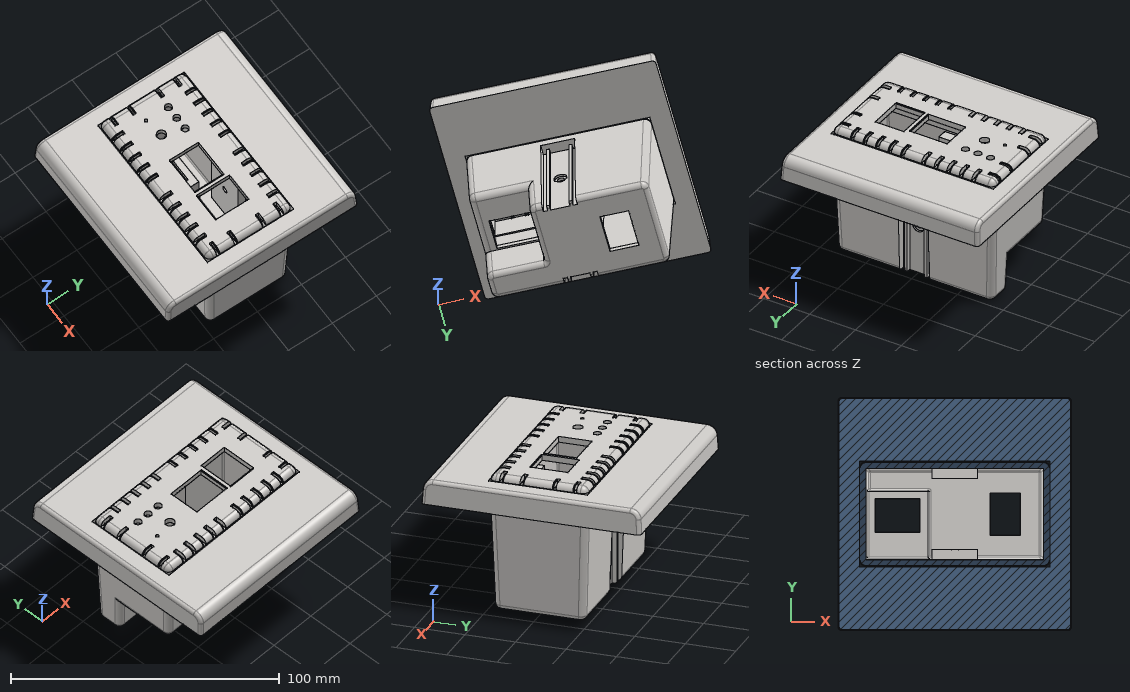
import cadquery as cq

FRAME_SIDE = 86.9
TOTAL_HEIGHT = 55.0
FRAME_BOTTOM = 42.8
FRAME_TOP = 52.5
OPENING_X = 70.9
OPENING_Y = 39.3

FRAME_DRAFT = 3.5
FRAME_ROUND_Y = 4.0
FRAME_ROUND_X = 1.5

HOUSING_DRAFT = 2.0
HOUSING_WALL = 2.0
HOUSING_X = 70.9
HOUSING_Y = 38.9
HOUSING_ROUND = 2.5
HOUSING_BASE_ROUND = 2.0
CAVITY_ROUND = 0.6
OUTLINE_BAND = 2.6
EDGE_TOLERANCE = 0.1
NOTCH_ROOF = 15.2
NOTCH_X = -11.9
NOTCH_Y = 6.35

CHANNEL_WIDTH = 13.0
CHANNEL_TOP = 39.6
CHANNEL_FLOOR_Y = 15.2
RIB_FACE_Y = 17.1
RIB_OUTER_X = 4.9
RIB_WIDTH = 1.1
SCREW_Z = 20.85
SCREW_RADIUS = 1.3
SCREW_HEAD_RADIUS = 2.4
SCREW_HEAD_DEPTH = 0.9

FLOOR_OPENING = (13.3, 24.3, -7.8, 7.8)
ROOF_OPENING = (-29.55, -13.0, -6.7, 5.65)

LID_X = 70.7
LID_Y = 38.6
LID_ROUND = 2.5
LID_THICKNESS = 2.35
LID_BOTTOM = TOTAL_HEIGHT - LID_THICKNESS
COLLAR_WALL = 2.35

MIDDLE_WINDOW = (-6.95, 9.6, -7.1, 6.1)
RIGHT_WINDOW = (11.0, 23.55, -7.5, 7.6)
LIP = 0.35

LAMP_PITCH = 5.5
LAMP_COUNT = 3
FIRST_LAMP_X = -25.55
LAMP_Y = 5.5
LAMP_RADIUS = 1.5
LAMP_HOLES = [(FIRST_LAMP_X + i * LAMP_PITCH, LAMP_Y, LAMP_RADIUS) for i in range(LAMP_COUNT)]
BUTTON_HOLE = (-17.55, -3.3, 1.9)
RESET_HOLE = (-25.7, -4.5, 0.6)
ROUND_HOLES = [*LAMP_HOLES, BUTTON_HOLE, RESET_HOLE]

SLOT_WIDTH = 1.5
SLOT_PITCH = 5.5
FIRST_SLOT_X = 4.6
SLOTS_PER_QUARTER = 5
LONG_SIDE_SLOT_X = [FIRST_SLOT_X + i * SLOT_PITCH for i in range(SLOTS_PER_QUARTER)]
LONG_SIDE_SLOT_END = 14.2
SHORT_SIDE_SLOT_Y = [6.4, 14.5]
SHORT_SIDE_SLOT_END = 30.4


def block(x0, x1, y0, y1, z0, z1):
    """Box between two opposite corners."""
    return cq.Workplane("XY").box(x1 - x0, y1 - y0, z1 - z0, centered=False).translate((x0, y0, z0))


def make_frame():
    """Drafted plate with rounded rim and a sharp-cornered opening for the lid."""
    body = (
        cq.Workplane("XY", origin=(0, 0, FRAME_BOTTOM))
        .rect(FRAME_SIDE, FRAME_SIDE)
        .extrude(FRAME_TOP - FRAME_BOTTOM, taper=FRAME_DRAFT)
    )
    body = body.faces(">Z").edges("|X").fillet(FRAME_ROUND_Y)
    body = body.faces("<X or >X").edges("not <Z").fillet(FRAME_ROUND_X)
    opening = block(-OPENING_X / 2, OPENING_X / 2, -OPENING_Y / 2, OPENING_Y / 2, 0, TOTAL_HEIGHT)
    return body.cut(opening)


def housing_form(inset, side_round, base_round):
    """Drafted, rounded box with a corner notch; inset moves every face but the top inwards."""
    half_x = HOUSING_X / 2 - inset
    half_y = HOUSING_Y / 2 - inset
    notch_x = NOTCH_X + inset
    notch_y = NOTCH_Y + inset
    roof = NOTCH_ROOF + inset
    body = (
        cq.Workplane("XY", origin=(0, 0, FRAME_BOTTOM))
        .rect(2 * half_x, 2 * half_y)
        .extrude(inset - FRAME_BOTTOM, taper=HOUSING_DRAFT)
    )
    notch = (
        cq.Workplane("XY", origin=(notch_x, notch_y, roof))
        .rect(-FRAME_SIDE, -FRAME_SIDE, centered=False)
        .extrude(-roof, taper=-HOUSING_DRAFT)
    )
    body = body.cut(notch)

    def is_rounded_side_edge(edge):
        """Upright edges and notch roof edges, but not the three that meet in the notch's inner corner."""
        middle = edge.Center()
        is_upright = edge.BoundingBox().zlen > EDGE_TOLERANCE
        is_roof = abs(middle.z - roof) < EDGE_TOLERANCE
        is_near_outline = abs(middle.x) > half_x - OUTLINE_BAND or abs(middle.y) > half_y - OUTLINE_BAND
        return (is_upright or is_roof) and is_near_outline

    body = body.edges().filter(is_rounded_side_edge).fillet(side_round)
    return body.faces("<Z").edges().fillet(base_round)


def channel_space(margin):
    """Boxes of the two rail channels, in the -Y and +Y walls, grown by margin."""
    half_width = CHANNEL_WIDTH / 2 + margin
    outside = HOUSING_Y
    floor = CHANNEL_FLOOR_Y - margin
    top = CHANNEL_TOP + margin
    front = block(-half_width, half_width, -outside, -floor, 0, top)
    return front.union(front.mirror("XZ"))


def channel_ribs():
    """Two upright ribs standing on each channel floor."""
    ribs = cq.Workplane("XY")
    for x0 in (-RIB_OUTER_X, RIB_OUTER_X - RIB_WIDTH):
        rib = block(x0, x0 + RIB_WIDTH, -RIB_FACE_Y, -CHANNEL_FLOOR_Y, 0, CHANNEL_TOP)
        ribs = ribs.union(rib).union(rib.mirror("XZ"))
    return ribs


def screw_hole():
    """Counterbored hole running through both channel floors."""

    def rod(radius, half_length):
        rod_start = cq.Workplane("XZ", origin=(0, half_length, SCREW_Z))
        return rod_start.circle(radius).extrude(2 * half_length)

    heads = rod(SCREW_HEAD_RADIUS, HOUSING_Y).cut(
        rod(SCREW_HEAD_RADIUS, CHANNEL_FLOOR_Y - SCREW_HEAD_DEPTH)
    )
    return rod(SCREW_RADIUS, HOUSING_Y).union(heads)


def make_housing():
    """Hollow lower box: notched corner, rail channels, screw hole and cable openings."""
    outside = housing_form(0, HOUSING_ROUND, HOUSING_BASE_ROUND)
    cavity = housing_form(HOUSING_WALL, CAVITY_ROUND, CAVITY_ROUND).cut(channel_space(HOUSING_WALL))
    body = outside.cut(channel_space(0).cut(channel_ribs())).cut(cavity).cut(screw_hole())
    body = body.cut(block(*FLOOR_OPENING, 0, HOUSING_WALL))
    return body.cut(block(*ROOF_OPENING, NOTCH_ROOF, NOTCH_ROOF + HOUSING_WALL))


def lid_form(inset):
    """Round-edged plate of the lid; inset moves the top and the sides inwards."""
    half_x = LID_X / 2 - inset
    half_y = LID_Y / 2 - inset
    body = block(-half_x, half_x, -half_y, half_y, LID_BOTTOM - LID_ROUND, TOTAL_HEIGHT - inset)
    body = body.edges("|Z or >Z").fillet(LID_ROUND - inset)
    return body.intersect(block(-half_x, half_x, -half_y, half_y, LID_BOTTOM, TOTAL_HEIGHT))


def four_mirrored(body):
    """The body and its mirror images across the XZ and YZ planes."""
    pair = [body, body.mirror("YZ")]
    return pair + [copy.mirror("XZ") for copy in pair]


def lid_openings(lip):
    """Vent slots and windows; lip narrows the slots and windows on one side."""
    levels = (LID_BOTTOM, TOTAL_HEIGHT)
    half = SLOT_WIDTH / 2
    cuts = []
    for x in LONG_SIDE_SLOT_X:
        cuts += four_mirrored(block(x - half, x + half - lip, LONG_SIDE_SLOT_END, LID_Y, *levels))
    for y in SHORT_SIDE_SLOT_Y:
        cuts += four_mirrored(block(SHORT_SIDE_SLOT_END, LID_X, y - half + lip, y + half, *levels))
    x0, x1, y0, y1 = MIDDLE_WINDOW
    cuts.append(block(x0, x1 - lip, y0, y1, *levels))
    x0, x1, y0, y1 = RIGHT_WINDOW
    cuts.append(block(x0, x1, y0 + lip, y1, *levels))
    return cuts


def make_lid():
    """Perforated lid; one side of each slot and window has a narrow lip just below the surface."""
    body = lid_form(0)
    below_lip = lid_form(LIP)
    for opening in lid_openings(LIP):
        body = body.cut(opening)
    for opening in lid_openings(0):
        body = body.cut(opening.cut(below_lip))
    for x, y, radius in ROUND_HOLES:
        hole = cq.Workplane("XY", origin=(x, y, LID_BOTTOM)).circle(radius).extrude(LID_THICKNESS)
        body = body.cut(hole)
    return body


def make_collar():
    """Straight-walled tube inside the frame, between the housing rim and the lid."""
    height = LID_BOTTOM - FRAME_BOTTOM
    plan = cq.Workplane("XY", origin=(0, 0, FRAME_BOTTOM))
    tube = plan.rect(LID_X, LID_Y).extrude(height).edges("|Z").fillet(LID_ROUND)
    bore = plan.rect(LID_X - 2 * COLLAR_WALL, LID_Y - 2 * COLLAR_WALL).extrude(height)
    return tube.cut(bore)


frame = make_frame()
housing = make_housing()
collar = make_collar()
lid = make_lid()

result = cq.Compound.makeCompound([frame.val(), housing.val(), collar.val(), lid.val()])